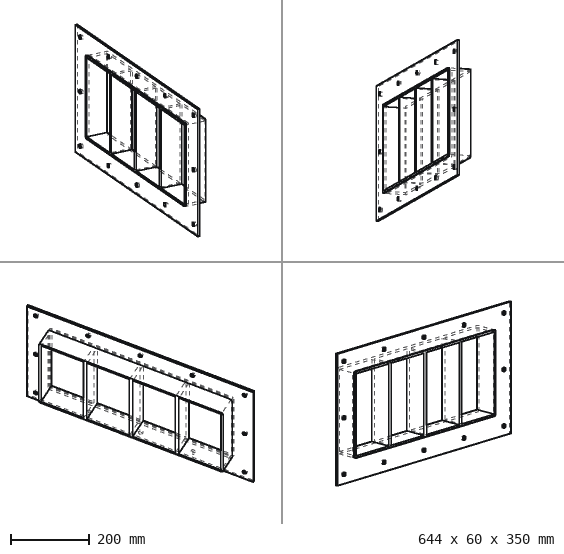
import cadquery as cq

plate_width = 644.0
plate_height = 350.0
plate_thickness = 6.0

flange_width = 60.0
frame_depth = 60.0
front_lip = 3.0
frame_wall = 6.0
frame_corner_radius = frame_wall
frame_width = plate_width - 2 * flange_width
frame_height = plate_height - 2 * flange_width

window_count = 4
divider_thickness = 10.0
opening_width = frame_width - 2 * frame_wall
window_width = (opening_width - (window_count - 1) * divider_thickness) / window_count
window_height = frame_height - 2 * frame_wall
window_pitch = window_width + divider_thickness

hole_diameter = 10.5
hole_edge_distance = 25.0
hole_columns = 5
hole_rows = 3
hole_span_x = plate_width - 2 * hole_edge_distance
hole_span_z = plate_height - 2 * hole_edge_distance


def centered_positions(count, pitch):
    """Evenly spaced coordinates, symmetric about zero."""
    return [(i - (count - 1) / 2) * pitch for i in range(count)]


def upright_block(width, height, depth, front_y):
    """Block centred on the Y axis, running from front_y towards +Y."""
    return (
        cq.Workplane("XZ", origin=(0, front_y, 0))
        .rect(width, height)
        .extrude(-depth)
    )


def make_plate():
    return upright_block(plate_width, plate_height, plate_thickness, 0)


def make_frame():
    frame = upright_block(frame_width, frame_height, frame_depth, -front_lip)
    return frame.edges("|Y").fillet(frame_corner_radius)


def make_windows():
    """Cutters for the windows, running the full depth of the frame."""
    centers = [(x, 0) for x in centered_positions(window_count, window_pitch)]
    return (
        cq.Workplane("XZ", origin=(0, -front_lip, 0))
        .pushPoints(centers)
        .rect(window_width, window_height)
        .extrude(-frame_depth)
    )


def make_bolt_holes():
    """Cutters for the holes on the perimeter of the bolt grid."""
    columns = centered_positions(hole_columns, hole_span_x / (hole_columns - 1))
    rows = centered_positions(hole_rows, hole_span_z / (hole_rows - 1))
    outer_columns = (columns[0], columns[-1])
    outer_rows = (rows[0], rows[-1])
    centers = [(x, z) for x in columns for z in rows if x in outer_columns or z in outer_rows]
    return (
        cq.Workplane("XZ")
        .pushPoints(centers)
        .circle(hole_diameter / 2)
        .extrude(-plate_thickness)
    )


result = make_plate().union(make_frame()).cut(make_windows()).cut(make_bolt_holes())